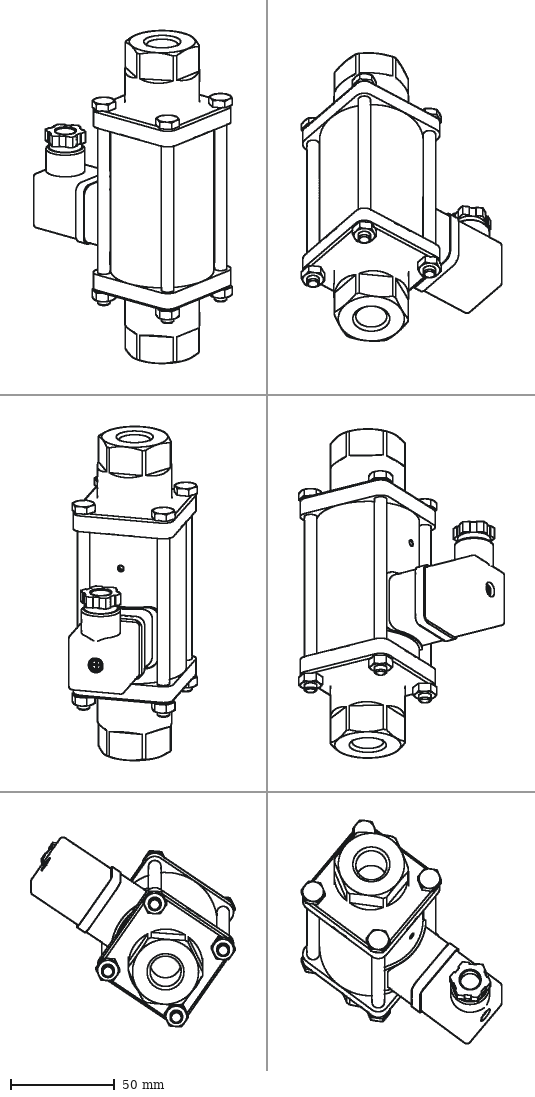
import cadquery as cq
import math

total_height = 159.5
total_length = 95.2
body_diameter = 50.0
end_plate_width = 50.1
end_plate_thickness = 9.1
end_plate_top = 46.7
end_plate_chamfer = 1.1

neck_diameter = 36.0
neck_fillet = 2.4
hex_flats = 32.0
hex_height = 15.0
hex_shoulder_drop = 1.1
hex_crown_diameter = 31.9
hex_crown_angle = math.radians(30)
port_diameter = 15.0
port_mouth_diameter = 17.9
port_depth = 22.3

bolt_flats = 10.0
bolt_corners = bolt_flats / math.cos(math.radians(30))
bolt_offset = (end_plate_width - bolt_flats) / 2
bolt_diameter = 6.0
bolt_head_height = 3.7
bolt_nut_height = 4.3
bolt_end_length = 7.2
bolt_end_chamfer = 0.6
bolt_crown_diameter = 10.0
bolt_crown_angle = math.radians(30)

vent_z = 20.7
vent_diameter = 2.5
vent_mouth_diameter = 3.2
vent_depth = 2.4

connector_z = -14.2
pad_radius = 26.3
pad_width = 34.1
pad_height = 31.0
pad_corner_radius = 4.5
arm_width = 29.7
arm_corner_radius = 5.0
gasket_back = -36.7
gasket_front = -41.6
gasket_width = 30.5
gasket_corner_radius = 4.1
plug_front = end_plate_width / 2 - total_length
plug_width = 27.9
plug_fillet = 1.9

screw_recess_diameter = 7.2
screw_recess_depth = 2.2
screw_head_diameter = 5.7
screw_head_height = 1.1
screw_head_chamfer = 0.6
screw_slot_width = 0.6
screw_slot_depth = 0.6

gland_diameter = 18.8
gland_top = 11.8
gland_chamfer = 1.0
gland_neck_diameter = 16.0
gland_nut_bottom = 14.7
gland_nut_top = 20.1
gland_nut_flats = 17.2
gland_notch_width = 3.2
gland_notch_depth = 0.6
gland_bore_diameter = 9.5
gland_bore_chamfer = 0.5
gland_bore_depth = 4.6

HEX_TURN = 30
HEX_SIDES = 6


def hexagon(flats, bottom, height, taper=0.0):
    """Hexagonal prism along Z with corners on the Y axis; a negative height goes down."""
    corners = flats / math.cos(math.radians(30))
    plane = cq.Workplane("XY", origin=(0, 0, bottom)).transformed(rotate=(0, 0, HEX_TURN))
    return plane.polygon(HEX_SIDES, corners).extrude(height, taper=taper)


def crowned_bar(bar_diameter, crown_diameter, angle, bottom, top):
    """Round bar along Z whose upper rim is bevelled down to the crown diameter."""
    bar_radius = bar_diameter / 2
    crown_radius = crown_diameter / 2
    bevel_drop = (bar_radius - crown_radius) * math.tan(angle)
    profile = [
        (0, bottom),
        (bar_radius, bottom),
        (bar_radius, top - bevel_drop),
        (crown_radius, top),
        (0, top),
    ]
    return cq.Workplane("XZ").polyline(profile).close().revolve(360, (0, 0), (0, 1))


def square_bar(width, corner_radius, start_x, end_x, height=None):
    """Bar along X with a rounded rectangular section, centred on the connector height."""
    bar = cq.Workplane("YZ", origin=(start_x, 0, connector_z)).rect(width, height or width)
    return bar.extrude(end_x - start_x).edges("|X").fillet(corner_radius)


def end_plate():
    """Upper clamping plate."""
    plate = cq.Workplane("XY", origin=(0, 0, end_plate_top - end_plate_thickness))
    plate = plate.rect(end_plate_width, end_plate_width).extrude(end_plate_thickness)
    plate = plate.edges("|Z").fillet(bolt_flats / 2)
    return plate.faces(">Z").chamfer(end_plate_chamfer)


def end_connector():
    """Upper round neck with a filleted foot and a hexagon milled into its end."""
    top = total_height / 2
    shoulder_z = top - hex_height
    flats_bottom = shoulder_z + hex_shoulder_drop
    neck_radius = neck_diameter / 2
    bar = crowned_bar(neck_diameter, hex_crown_diameter, hex_crown_angle, end_plate_top, top)

    flats_cut_depth = (neck_diameter - hex_flats) / 2
    shoulder_taper = math.degrees(math.atan(flats_cut_depth / hex_shoulder_drop))
    envelope = hexagon(hex_flats, flats_bottom, top - flats_bottom)
    envelope = envelope.union(hexagon(hex_flats, flats_bottom, -hex_shoulder_drop, -shoulder_taper))
    envelope = envelope.union(hexagon(neck_diameter, end_plate_top, shoulder_z - end_plate_top))
    bar = bar.intersect(envelope)

    foot = (
        cq.Workplane("XZ")
        .moveTo(0, end_plate_top)
        .lineTo(neck_radius + neck_fillet, end_plate_top)
        .radiusArc((neck_radius, end_plate_top + neck_fillet), neck_fillet)
        .lineTo(0, end_plate_top + neck_fillet)
        .close()
        .revolve(360, (0, 0), (0, 1))
    )
    return bar.union(foot)


def port():
    """Blind bore with a 45 degree mouth, entering from the top end."""
    top = total_height / 2
    mouth_depth = (port_mouth_diameter - port_diameter) / 2
    profile = [
        (0, top),
        (port_mouth_diameter / 2, top),
        (port_diameter / 2, top - mouth_depth),
        (port_diameter / 2, top - port_depth),
        (0, top - port_depth),
    ]
    return cq.Workplane("XZ").polyline(profile).close().revolve(360, (0, 0), (0, 1))


def crowned_hexagon(height):
    """Bolt hexagon standing on the upper plate, with its outer corners bevelled."""
    top = end_plate_top + height
    crown = crowned_bar(bolt_corners, bolt_crown_diameter, bolt_crown_angle, end_plate_top, top)
    return hexagon(bolt_flats, end_plate_top, height).intersect(crown)


def tie_bolt():
    """Bolt through both plates: hexagon head above, nut and rod end below."""
    head = crowned_hexagon(bolt_head_height)
    nut = crowned_hexagon(bolt_nut_height).mirror("XY")
    rod_bottom = -end_plate_top - bolt_end_length
    rod = cq.Workplane("XY", origin=(0, 0, rod_bottom)).circle(bolt_diameter / 2)
    rod = rod.extrude(end_plate_top - rod_bottom).faces("<Z").chamfer(bolt_end_chamfer)
    return head.union(rod).union(nut)


def vent():
    """Small countersunk hole in the body wall, along X."""
    surface_x = -body_diameter / 2
    countersink_depth = (vent_mouth_diameter - vent_diameter) / 2
    start = cq.Workplane("YZ", origin=(surface_x, 0, vent_z))
    hole = start.circle(vent_diameter / 2).extrude(vent_depth)
    mouth = start.circle(vent_mouth_diameter / 2).extrude(countersink_depth, taper=45)
    return hole.union(mouth)


def connector_pad():
    """Raised pad that follows the round body where the arm joins it."""
    barrel = cq.Workplane("XY", origin=(0, 0, connector_z - pad_height / 2))
    barrel = barrel.circle(pad_radius).extrude(pad_height)
    return barrel.intersect(square_bar(pad_width, pad_corner_radius, -pad_radius, 0, pad_height))


def plug():
    """Plug housing with rounded outer edges."""
    housing = cq.Workplane("YZ", origin=(plug_front, 0, connector_z)).rect(plug_width, plug_width)
    housing = housing.extrude(gasket_front - plug_front)
    return housing.edges("|X or <X").fillet(plug_fillet)


def screw_recess():
    """Recess in the plug face, leaving a cross-slotted screw head at its floor."""
    floor_x = plug_front + screw_recess_depth
    recess = cq.Workplane("YZ", origin=(plug_front, 0, connector_z))
    recess = recess.circle(screw_recess_diameter / 2).extrude(screw_recess_depth)
    head = cq.Workplane("YZ", origin=(floor_x, 0, connector_z)).circle(screw_head_diameter / 2)
    head = head.extrude(-screw_head_height).faces("<X").chamfer(screw_head_chamfer)
    slots = cq.Workplane("YZ", origin=(floor_x - screw_head_height, 0, connector_z))
    slots = slots.rect(screw_head_diameter, screw_slot_width).extrude(screw_slot_depth)
    slots = slots.union(slots.rotate((0, 0, connector_z), (1, 0, connector_z), 90))
    return recess.cut(head.cut(slots))


def cable_gland():
    """Round tower, neck and notched hexagon nut with a blind cable bore."""
    tower = cq.Workplane("XY", origin=(0, 0, connector_z)).circle(gland_diameter / 2)
    tower = tower.extrude(gland_top - connector_z).faces(">Z").chamfer(gland_chamfer)
    neck = cq.Workplane("XY", origin=(0, 0, gland_top)).circle(gland_neck_diameter / 2)
    neck = neck.extrude(gland_nut_bottom - gland_top)

    nut_height = gland_nut_top - gland_nut_bottom
    nut = hexagon(gland_nut_flats, gland_nut_bottom, nut_height)
    notch = cq.Workplane("XY", origin=(gland_nut_flats / 2, 0, gland_nut_bottom))
    notch = notch.rect(2 * gland_notch_depth, gland_notch_width).extrude(nut_height)
    for side in range(HEX_SIDES):
        nut = nut.cut(notch.rotate((0, 0, 0), (0, 0, 1), 360 / HEX_SIDES * side))

    gland = tower.union(neck).union(nut)
    bore = cq.Workplane("XY", origin=(0, 0, gland_nut_top))
    mouth = bore.circle(gland_bore_diameter / 2 + gland_bore_chamfer)
    mouth = mouth.extrude(-gland_bore_chamfer, taper=45)
    bore = bore.circle(gland_bore_diameter / 2).extrude(-gland_bore_depth)
    gland = gland.cut(bore).cut(mouth)
    return gland.translate((plug_front + gland_diameter / 2, 0, 0))


valve_end = end_plate().union(end_connector()).cut(port())
half_barrel = end_plate_top - end_plate_thickness
body = cq.Workplane("XY").circle(body_diameter / 2).extrude(half_barrel, both=True)
body = body.union(valve_end).union(valve_end.mirror("XY"))
body = body.cut(vent())

bolt = tie_bolt()
for x_side in (-1, 1):
    for y_side in (-1, 1):
        body = body.union(bolt.translate((x_side * bolt_offset, y_side * bolt_offset, 0)))

body = body.union(connector_pad())
body = body.union(square_bar(arm_width, arm_corner_radius, gasket_back, 0))
body = body.union(square_bar(gasket_width, gasket_corner_radius, gasket_front, gasket_back))
body = body.union(plug())
body = body.union(cable_gland())

result = body.cut(screw_recess())